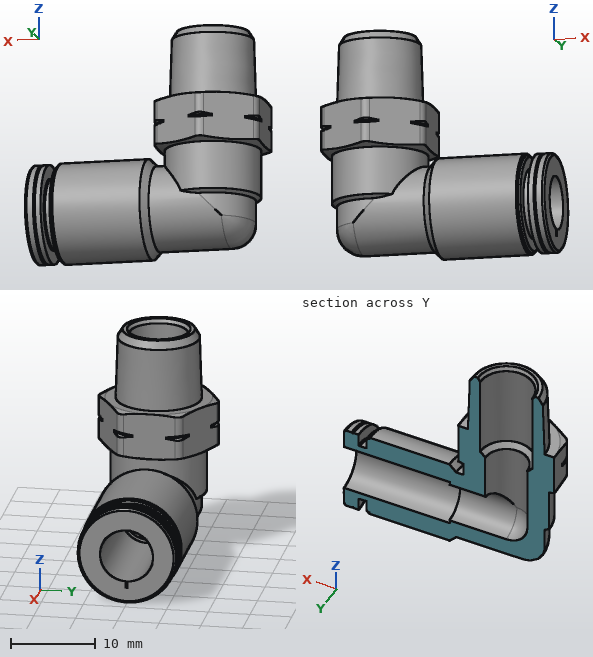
import cadquery as cq
import math


elbow_radius = 10.2 / 2
heel_radius = 3.0
bore_radius = 5.5 / 2

sleeve_radius = 11.4 / 2
sleeve_foot_radius = elbow_radius
sleeve_foot_z = 0.62
sleeve_wall_z = 1.03

hex_flats = 12.7
hex_bottom = 6.7
hex_top = 12.5
hex_corner_radius = 1.0
hex_chamfer_slope = math.tan(math.radians(15))
hex_sharp_radius = hex_flats / 2 / math.cos(math.radians(30))
notch_middle = 9.66
notch_root_radius = 6.66
notch_root_width = 0.18
notch_slope = math.tan(math.radians(20))

part_top = 21.0
thread_base_radius = 10.2 / 2
thread_taper = 1 / 32
thread_chamfer_height = 0.95
thread_tip_radius = 8.55 / 2

counterbore_radius = 6.86 / 2
mouth_radius = 7.5 / 2
mouth_chamfer_height = 0.5
counterbore_floor = 9.6

body_start = 6.6
body_radius = 12.0 / 2
body_end = 18.12
body_shoulder = body_radius - elbow_radius
body_end_chamfer = 0.08
insert_radius = 11.6 / 2
insert_end = 18.5
insert_chamfer = 0.24

collar_neck_radius = 8.35 / 2
collar_neck_flare_length = 0.15
collar_neck_flare = 0.08
collar_radius = 11.8 / 2
collar_start = 19.5
collar_end = 21.45
collar_chamfer = 0.26
groove_middle = 20.3
groove_half_width = 0.12
groove_root_radius = 11.6 / 2

tube_radius = 6.35 / 2
tube_stop = body_start + body_shoulder

mark_top_x = 21.5
mark_width = 0.28
mark_height = 0.6
mark_z = -3.65


def revolve_z(points):
    """Turn a (radius, z) outline about the Z axis."""
    return cq.Workplane("XZ").polyline(points).close().revolve(360, (0, 0, 0), (0, 1, 0))


def revolve_x(points):
    """Turn an (x, radius) outline about the X axis."""
    return cq.Workplane("XZ").polyline(points).close().revolve(360, (0, 0, 0), (1, 0, 0))


def prism_y(points):
    """Extrude an (x, z) outline across the full width of the elbow."""
    return cq.Workplane("XZ").polyline(points).close().extrude(elbow_radius, both=True)


def make_elbow():
    """Two cylinders mitred on the plane x = z, with a rounded heel."""
    heel = heel_radius - elbow_radius
    reach = elbow_radius
    upright_zone = prism_y([(-reach, heel), (heel, heel), (reach, reach), (-reach, reach)])
    level_zone = prism_y([
        (heel, -reach),
        (heel, heel),
        (reach, reach),
        (body_start, reach),
        (body_start, -reach),
    ])
    column = cq.Workplane("XY").circle(elbow_radius).extrude(reach, both=True)
    arm = cq.Workplane("YZ").circle(elbow_radius).extrude(body_start, both=True)

    half_chord = math.sqrt(elbow_radius**2 - heel**2)
    heel_quarter = (
        cq.Workplane("XY", origin=(0, 0, heel))
        .moveTo(heel, -half_chord)
        .threePointArc((-elbow_radius, 0), (heel, half_chord))
        .close()
        .revolve(90, (heel, 1, 0), (heel, 0, 0))
    )
    return column.intersect(upright_zone).union(arm.intersect(level_zone)).union(heel_quarter)


def make_sleeve():
    return revolve_z([
        (0, sleeve_foot_z),
        (sleeve_foot_radius, sleeve_foot_z),
        (sleeve_radius, sleeve_wall_z),
        (sleeve_radius, hex_bottom),
        (0, hex_bottom),
    ])


def make_hex():
    """Hexagon with rounded corners, coned ends and a notch around its corners."""
    prism = (
        cq.Workplane("XY", origin=(0, 0, hex_bottom))
        .polygon(6, hex_sharp_radius * 2)
        .extrude(hex_top - hex_bottom)
        .rotate((0, 0, 0), (0, 0, 1), 30)
        .edges("|Z")
        .fillet(hex_corner_radius)
    )
    top_circle = hex_flats / 2
    top_drop = (hex_sharp_radius - top_circle) * hex_chamfer_slope
    bottom_rise = (hex_sharp_radius - sleeve_radius) * hex_chamfer_slope
    coned_blank = revolve_z([
        (0, hex_bottom),
        (sleeve_radius, hex_bottom),
        (hex_sharp_radius, hex_bottom + bottom_rise),
        (hex_sharp_radius, hex_top - top_drop),
        (top_circle, hex_top),
        (0, hex_top),
    ])
    root_half = notch_root_width / 2
    mouth_half = root_half + (hex_sharp_radius - notch_root_radius) * notch_slope
    notch = revolve_z([
        (notch_root_radius, notch_middle - root_half),
        (hex_sharp_radius, notch_middle - mouth_half),
        (hex_sharp_radius, notch_middle + mouth_half),
        (notch_root_radius, notch_middle + root_half),
    ])
    return prism.intersect(coned_blank).cut(notch)


def make_thread():
    chamfer_z = part_top - thread_chamfer_height
    chamfer_radius = thread_base_radius - (chamfer_z - hex_top) * thread_taper
    return revolve_z([
        (0, hex_top),
        (thread_base_radius, hex_top),
        (chamfer_radius, chamfer_z),
        (thread_tip_radius, part_top),
        (0, part_top),
    ])


def make_socket():
    """Socket body, end insert and release collar in one turned outline."""
    return revolve_x([
        (body_start, 0),
        (body_start, elbow_radius),
        (body_start + body_shoulder, body_radius),
        (body_end - body_end_chamfer, body_radius),
        (body_end, body_radius - body_end_chamfer),
        (body_end, insert_radius),
        (insert_end - insert_chamfer, insert_radius),
        (insert_end, insert_radius - insert_chamfer),
        (insert_end, collar_neck_radius),
        (collar_start - collar_neck_flare_length, collar_neck_radius),
        (collar_start, collar_neck_radius + collar_neck_flare),
        (collar_start, collar_radius),
        (groove_middle - groove_half_width, collar_radius),
        (groove_middle, groove_root_radius),
        (groove_middle + groove_half_width, collar_radius),
        (collar_end - collar_chamfer, collar_radius),
        (collar_end, collar_radius - collar_chamfer),
        (collar_end, 0),
    ])


def make_mark():
    root_x = collar_end - collar_chamfer
    return (
        cq.Workplane("YZ", origin=(root_x, 0, mark_z))
        .rect(mark_width, mark_height)
        .extrude(mark_top_x - root_x)
    )


def make_bores():
    """Stepped thread bore and tube bore, joined by a ball at the elbow."""
    floor_drop = counterbore_radius - bore_radius
    upright = revolve_z([
        (0, 0),
        (bore_radius, 0),
        (bore_radius, counterbore_floor - floor_drop),
        (counterbore_radius, counterbore_floor),
        (counterbore_radius, part_top - mouth_chamfer_height),
        (mouth_radius, part_top),
        (0, part_top),
    ])
    level = revolve_x([
        (0, 0),
        (0, bore_radius),
        (tube_stop, bore_radius),
        (tube_stop, tube_radius),
        (collar_end, tube_radius),
        (collar_end, 0),
    ])
    return upright.union(level).union(cq.Workplane("XY").sphere(bore_radius))


outside = (
    make_elbow()
    .union(make_sleeve())
    .union(make_hex())
    .union(make_thread())
    .union(make_socket())
    .union(make_mark())
)
result = outside.cut(make_bores())